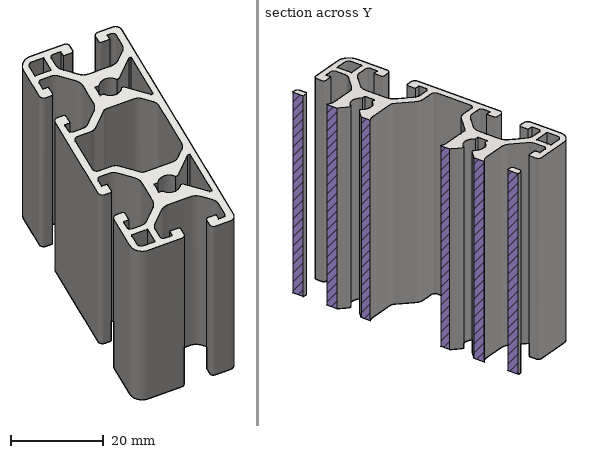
import cadquery as cq

width = 60.0
depth = 24.0
length = 50.0
half_width = width / 2

wall = 1.55
flat_wall = 1.75
front_corner_radius = 3.0
back_corner_radius = 1.5

slot_offset = 15.0
slot_half_opening = 3.05
slot_depth = 9.8
lip_depth = 2.9
lip_half_width = 5.5
slot_half_width = 8.1
slot_diagonal_sum = 13.6
slot_floor_radius = 3.0
slot_shoulder_radius = 2.4
slot_corner_radius = 0.8
front_lip_radius = 1.1
end_lip_radius = 0.9
lip_inner_radius = 0.5

screw_radius = 2.45
screw_groove_half_width = 1.25
screw_groove_reach = 3.0
funnel_half_width = 5.65
funnel_edge = 0.55
funnel_wall = 1.45
neck_radius = 0.7

tube_size = 3.85
tube_corner_radius = 1.0

chamber_core_half_width = half_width - slot_offset - (slot_offset - slot_depth)
chamber_front_half_width = half_width - slot_offset - slot_half_width - wall
chamber_back_chamfer = 3.1
chamber_waist_y = 11.15
chamber_back_radius = 2.4
chamber_front_bend_radius = 2.4
chamber_waist_radius = 1.2
chamber_corner_radius = 1.0

slot_x = half_width - slot_offset
slot_y = slot_offset


def prism(points):
    """Extrude a closed outline over the full length."""
    return cq.Workplane("XY").polyline(points).close().extrude(length)


def fillet_at(body, points, radius):
    """Round the lengthwise edges that pass through the given XY points."""
    reach = 0.03
    for x, y in points:
        box = cq.selectors.BoxSelector((x - reach, y - reach, -0.6), (x + reach, y + reach, length + 0.6))
        body = body.edges("|Z").edges(box).fillet(radius)
    return body


def mirrored(body):
    """Join a body with its mirror image about X = 0."""
    return body.union(body.mirror("YZ"))


def slot_cutter(low_half_width, high_half_width):
    """T-slot opening at Y = 0 and running toward +Y; its -X and +X flanks may differ in width."""

    def flank(side, cavity_half_width):
        shoulder = (side * cavity_half_width, slot_diagonal_sum - cavity_half_width)
        floor = (side * (slot_diagonal_sum - slot_depth), slot_depth)
        corner = (side * cavity_half_width, wall)
        mouth = [
            (side * slot_half_opening, 0),
            (side * slot_half_opening, lip_depth),
            (side * lip_half_width, lip_depth),
            (side * lip_half_width, wall),
        ]
        return mouth, corner, shoulder, floor

    low_mouth, low_corner, low_shoulder, low_floor = flank(-1, low_half_width)
    high_mouth, high_corner, high_shoulder, high_floor = flank(1, high_half_width)
    low_side = low_mouth + [low_corner, low_shoulder, low_floor]
    high_side = high_mouth + [high_corner, high_shoulder, high_floor]
    cutter = prism(low_side + high_side[::-1])
    cutter = fillet_at(cutter, [low_corner, high_corner], slot_corner_radius)
    cutter = fillet_at(cutter, [low_shoulder, high_shoulder], slot_shoulder_radius)
    return fillet_at(cutter, [low_floor, high_floor], slot_floor_radius)


def screw_channel():
    """Round screw bore with a groove, opening into a triangular funnel at the back wall."""
    bore = cq.Workplane("XY").center(-slot_x, slot_y).circle(screw_radius).extrude(length)
    funnel_back = depth - funnel_wall
    neck_y = funnel_back - funnel_edge - (funnel_half_width - screw_groove_half_width)
    groove_y = slot_y - screw_groove_reach
    half_outline = [
        (screw_groove_half_width, groove_y),
        (screw_groove_half_width, neck_y),
        (funnel_half_width, funnel_back - funnel_edge),
        (funnel_half_width, funnel_back),
    ]
    right_side = [(-slot_x + x, y) for x, y in half_outline]
    left_side = [(-slot_x - x, y) for x, y in half_outline]
    funnel = prism(right_side + left_side[::-1])
    neck = [(-slot_x - screw_groove_half_width, neck_y), (-slot_x + screw_groove_half_width, neck_y)]
    return bore.union(fillet_at(funnel, neck, neck_radius))


def corner_tube():
    """Square tube in the front corner, rounded toward the outside."""
    low_x = wall - half_width
    tube = cq.Workplane("XY").box(tube_size, tube_size, length, centered=False).translate((low_x, wall, 0))
    return fillet_at(tube, [(low_x, wall)], tube_corner_radius)


def centre_chamber():
    """Large hollow between the two screw channels."""
    back_y = depth - flat_wall
    bend_y = chamber_waist_y - (chamber_core_half_width - chamber_front_half_width)
    front_corner = (chamber_front_half_width, flat_wall)
    front_bend = (chamber_front_half_width, bend_y)
    waist = (chamber_core_half_width, chamber_waist_y)
    back_side = (chamber_core_half_width, back_y - chamber_back_chamfer)
    back_end = (chamber_core_half_width - chamber_back_chamfer, back_y)
    right_side = [front_corner, front_bend, waist, back_side, back_end]
    left_side = [(-x, y) for x, y in right_side]
    chamber = prism(right_side + left_side[::-1])
    rounded_corners = [
        (front_corner, chamber_corner_radius),
        (front_bend, chamber_front_bend_radius),
        (waist, chamber_waist_radius),
        (back_side, chamber_back_radius),
        (back_end, chamber_back_radius),
    ]
    for (x, y), radius in rounded_corners:
        chamber = fillet_at(chamber, [(-x, y), (x, y)], radius)
    return chamber


front_slot = slot_cutter(slot_half_width, slot_half_width).translate((-slot_x, 0, 0))
end_back_half_width = depth - slot_y - flat_wall
end_slot = (
    slot_cutter(end_back_half_width, slot_half_width)
    .rotate((0, 0, 0), (0, 0, 1), -90)
    .translate((-half_width, slot_y, 0))
)

bar = cq.Workplane("XY").box(width, depth, length, centered=(True, False, False))
for hollow in (front_slot, end_slot, screw_channel(), corner_tube()):
    bar = bar.cut(mirrored(hollow))
bar = bar.cut(centre_chamber())

for side in (-1, 1):
    end_x = side * half_width
    bar = fillet_at(bar, [(end_x, 0)], front_corner_radius)
    bar = fillet_at(bar, [(end_x, depth)], back_corner_radius)
    for edge in (-slot_half_opening, slot_half_opening):
        bar = fillet_at(bar, [(side * slot_x + edge, 0)], front_lip_radius)
        bar = fillet_at(bar, [(side * slot_x + edge, lip_depth)], lip_inner_radius)
        bar = fillet_at(bar, [(end_x, slot_y + edge)], end_lip_radius)
        bar = fillet_at(bar, [(end_x - side * lip_depth, slot_y + edge)], lip_inner_radius)

result = bar